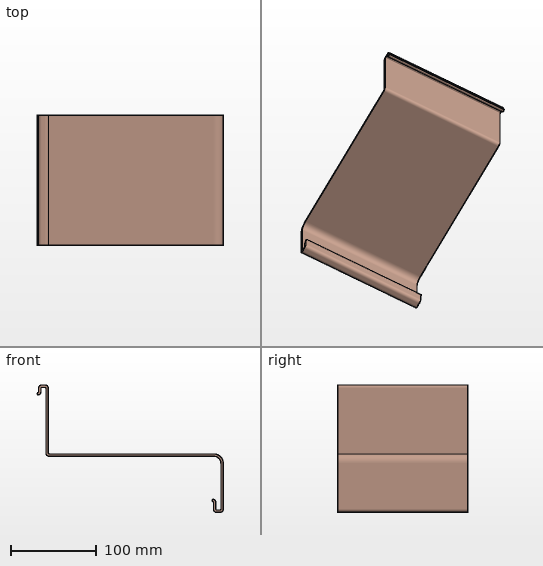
import cadquery as cq
import math

length_x = 217.7
depth_y = 152.5
height_z = 149.1
thickness = 3.0
hook_width = 11.8
upper_hook_height = 12.0
lower_hook_height = 15.7
plate_drop = 80.5
fold_radius = 4.0
shoulder_radius = 11.0
curl_angle = math.radians(68)

tip_radius = thickness / 2
fold_inner_radius = fold_radius - thickness
curl_mid_radius = fold_radius - tip_radius
lip_face = fold_inner_radius - curl_mid_radius * math.cos(curl_angle) + tip_radius
upper_wall_right = lip_face + hook_width
upper_wall_left = upper_wall_right - thickness
plate_top = height_z - plate_drop
plate_bottom = plate_top - thickness
lower_wall_left = length_x - thickness
lower_lip_face = length_x - hook_width


def box(x_min, x_max, z_min, z_max):
    """Block spanning the full depth in Y."""
    return cq.Workplane("XY").box(
        x_max - x_min, depth_y, z_max - z_min, centered=(False, True, False)
    ).translate((x_min, 0, z_min))


def bend(x_center, z_center, x_side, z_side, outer_radius):
    """Quarter-round sheet bend, lying on the given sides of its centre."""
    inner_radius = outer_radius - thickness
    diagonal = math.sqrt(0.5)

    def point(radius, x_part, z_part):
        return (x_center + x_side * radius * x_part, z_center + z_side * radius * z_part)

    return (
        cq.Workplane("XZ", origin=(0, depth_y / 2, 0))
        .moveTo(*point(outer_radius, 1, 0))
        .threePointArc(point(outer_radius, diagonal, diagonal), point(outer_radius, 0, 1))
        .lineTo(*point(inner_radius, 0, 1))
        .threePointArc(point(inner_radius, diagonal, diagonal), point(inner_radius, 1, 0))
        .close()
        .extrude(depth_y)
    )


def lip(face_x, pivot_z, z_side):
    """Curl at the end of a leg, turning toward -X and ending in a full-round tip."""
    pivot_x = face_x - fold_inner_radius

    def point(radius, angle):
        return (pivot_x + radius * math.cos(angle), pivot_z + z_side * radius * math.sin(angle))

    tip_x, tip_z = point(curl_mid_radius, curl_angle)
    tip_end = (
        tip_x - tip_radius * math.sin(curl_angle),
        tip_z + z_side * tip_radius * math.cos(curl_angle),
    )
    return (
        cq.Workplane("XZ", origin=(0, depth_y / 2, 0))
        .moveTo(*point(fold_inner_radius, 0))
        .lineTo(*point(fold_radius, 0))
        .threePointArc(point(fold_radius, curl_angle / 2), point(fold_radius, curl_angle))
        .threePointArc(tip_end, point(fold_inner_radius, curl_angle))
        .threePointArc(point(fold_inner_radius, curl_angle / 2), point(fold_inner_radius, 0))
        .close()
        .extrude(depth_y)
    )


upper_lip_pivot = height_z - upper_hook_height + fold_radius
upper_fold_z = height_z - fold_radius
upper_hook = [
    lip(lip_face, upper_lip_pivot, -1),
    box(lip_face, lip_face + thickness, upper_lip_pivot, upper_fold_z),
    bend(lip_face + fold_radius, upper_fold_z, -1, 1, fold_radius),
    box(lip_face + fold_radius, upper_wall_right - fold_radius, height_z - thickness, height_z),
    bend(upper_wall_right - fold_radius, upper_fold_z, 1, 1, fold_radius),
]

plate_fold_x = upper_wall_left + fold_radius
plate_fold_z = plate_bottom + fold_radius
shoulder_x = length_x - shoulder_radius
shoulder_z = plate_top - shoulder_radius
step = [
    box(upper_wall_left, upper_wall_right, plate_fold_z, upper_fold_z),
    bend(plate_fold_x, plate_fold_z, -1, -1, fold_radius),
    box(plate_fold_x, shoulder_x, plate_bottom, plate_top),
    bend(shoulder_x, shoulder_z, 1, 1, shoulder_radius),
    box(lower_wall_left, length_x, fold_radius, shoulder_z),
]

lower_lip_pivot = lower_hook_height - fold_radius
lower_hook = [
    bend(length_x - fold_radius, fold_radius, 1, -1, fold_radius),
    box(lower_lip_face + fold_radius, length_x - fold_radius, 0, thickness),
    bend(lower_lip_face + fold_radius, fold_radius, -1, -1, fold_radius),
    box(lower_lip_face, lower_lip_face + thickness, fold_radius, lower_lip_pivot),
    lip(lower_lip_face, lower_lip_pivot, 1),
]

result = cq.Workplane("XY")
for segment in upper_hook + step + lower_hook:
    result = result.add(segment)
result = result.combine()